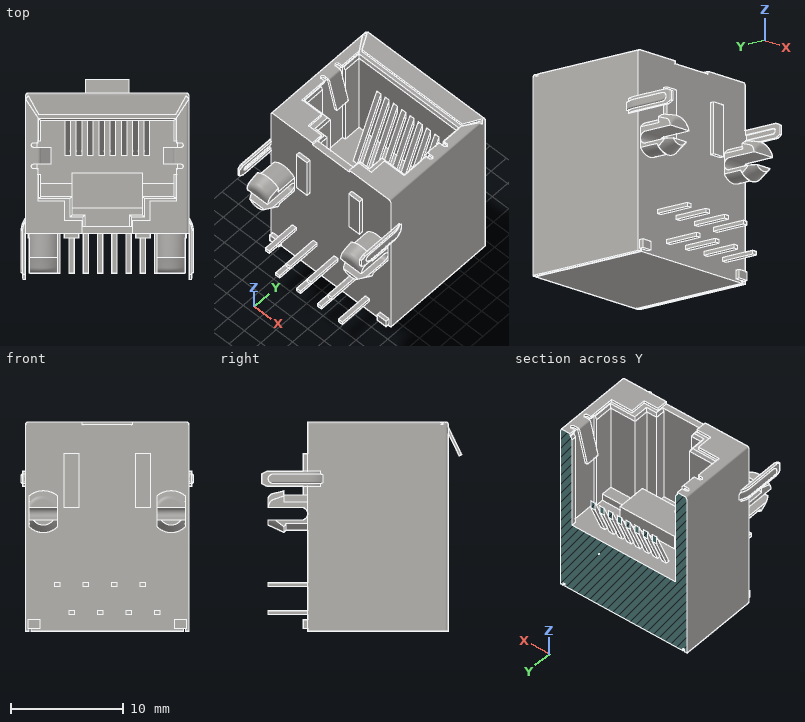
import cadquery as cq
import math


body_w, body_d, body_h = 14.58, 12.55, 18.67
overall_w = 15.38
half_w = body_w / 2
sheet = 0.26
bend_r = 0.26

shell_half_w, shell_front = 6.18, 2.9
shell_step_half_w, shell_step_front = 3.83, 1.18
shell_notch_half_w = 2.24
lip_edge, lip_inset = 10.62, 0.07

cavity_half_w, cavity_front, cavity_back = 5.94, 3.3, 10.08
latch_half_w, latch_front = 3.14, 1.66
key_half_w, key_front = 2.0, 0.63
lead_in, lead_in_depth = 0.17, 0.34
cavity_floor = 7.85
shoulder_h, shoulder_back = 0.75, 4.48
latch_block_h, latch_block_front, latch_block_back = 1.5, 2.28, 5.41

contact_count, contact_pitch, contact_w = 8, 1.0, 0.5
contact_top, contact_end = 15.18, 6.98
contact_thick = 0.37

spring_y, spring_w = 6.95, 1.51
slit_w, slit_end = 0.4, 6.78
recess_y, recess_w, recess_half_w = 6.78, 2.99, 6.25
spring_tip_x, spring_tip_z = 5.02, 14.94
spring_bend_x, spring_bend_drop = 5.88, 0.28

flap_w = 3.88
flap_root_z, flap_tip_z = 18.2, 15.74
flap_tip_y = 13.75

pin_count, pin_step, pin_w, pin_thick, pin_len = 8, 1.27, 0.49, 0.35, 3.55
pin_row_z = (4.16, 1.66)
standoff_h = 0.4
rib_x, rib_w, rib_low, rib_high = 3.2, 1.3, 11.02, 15.83
pad_x, pad_w, pad_low, pad_high = 6.53, 1.08, 0.25, 1.05
seam_x, seam_w = 6.89, 0.17

peg_x, peg_z, peg_w, peg_len = 5.7, 10.57, 2.54, 3.55
shank_r, upper_head_r, lower_head_r, peg_tip_r = 1.59, 1.96, 1.77, 1.1
head_start = 2.11
shoulder_r, shoulder_at = 1.72, 3.1
nose_r, nose_at = 1.53, 3.4
peg_slot_w, peg_slot_z = 1.1, 10.47

tab_z, tab_w, tab_tip_w = 13.6, 1.36, 0.85
tab_len, tab_taper = 4.09, 0.47
tab_bevel, tab_bevel_len = 0.05, 0.19
tab_bend_y, tab_bend_r, tab_bend_angle = 0.17, 1.92, 45
bead_w, bead_end, bead_edge_r = 0.82, 3.51, 0.13
groove_w, groove_end = 0.5, 3.51
tab_face = half_w + sheet
bead_h = overall_w / 2 - tab_face


def box(x0, x1, y0, y1, z0, z1):
    block = cq.Workplane("XY").box(x1 - x0, y1 - y0, z1 - z0, centered=False)
    return block.translate((x0, y0, z0))


def both_sides(solid):
    return solid.union(solid.mirror("YZ"))


def yz_prism(points, x_mid, width):
    """Closed outline in the YZ plane, extruded along X about x_mid."""
    return cq.Workplane("YZ").polyline(points).close().extrude(width / 2, both=True).translate((x_mid, 0, 0))


def mirrored_outline(right_half):
    """Close a right-hand half outline with its mirror image."""
    return right_half + [(-x, y) for x, y in reversed(right_half)]


def cavity_outline(grow):
    """Plug opening with its latch channel and key slot, grown outwards by an offset."""
    return mirrored_outline([
        (key_half_w + grow, key_front),
        (key_half_w + grow, latch_front - grow),
        (latch_half_w + grow, latch_front - grow),
        (latch_half_w + grow, cavity_front - grow),
        (cavity_half_w + grow, cavity_front - grow),
        (cavity_half_w + grow, cavity_back + grow),
    ])


def make_shell():
    body = box(-half_w, half_w, 0, body_d, 0, body_h)
    return body.edges("(>Y and (<X or >X)) or (>Z and (<X or >X or >Y))").fillet(bend_r)


def cut_shell_opening(body):
    """Remove one sheet thickness over the opening and along the corner mitres of the lip."""
    opening = mirrored_outline([
        (shell_notch_half_w, 0),
        (shell_notch_half_w, shell_step_front),
        (shell_step_half_w, shell_step_front),
        (shell_step_half_w, shell_front),
        (shell_half_w, shell_front),
        (shell_half_w, cavity_back + sheet),
        (half_w, body_d - 2 * bend_r),
        (half_w - bend_r, body_d - bend_r),
        (shell_half_w - lip_inset, lip_edge),
    ])
    cut = cq.Workplane("XY").workplane(offset=body_h - sheet).polyline(opening).close().extrude(sheet)
    return body.cut(cut)


def cut_cavity(body):
    lip_z = body_h - sheet
    well = (cq.Workplane("XY").workplane(offset=cavity_floor)
            .polyline(cavity_outline(0)).close().extrude(lip_z - cavity_floor))
    lead = (cq.Workplane("XY").workplane(offset=lip_z - lead_in_depth)
            .polyline(cavity_outline(0)).close()
            .workplane(offset=lead_in_depth)
            .polyline(cavity_outline(lead_in)).close().loft(ruled=True))
    recess = box(-recess_half_w, recess_half_w, recess_y - recess_w / 2, recess_y + recess_w / 2,
                 cavity_floor, lip_z)
    return body.cut(well).cut(lead).cut(recess)


def make_cavity_steps():
    shoulders = box(-cavity_half_w, cavity_half_w, cavity_front, shoulder_back,
                    cavity_floor, cavity_floor + shoulder_h)
    block = box(-latch_half_w, latch_half_w, latch_block_front, latch_block_back,
                cavity_floor, cavity_floor + latch_block_h)
    return shoulders.union(block)


def make_contacts():
    profile = [
        (cavity_back, contact_top),
        (contact_end, cavity_floor),
        (contact_end + contact_thick, cavity_floor),
        (cavity_back + contact_thick, contact_top),
    ]
    contacts = cq.Workplane("XY")
    for i in range(contact_count):
        x = (i - (contact_count - 1) / 2) * contact_pitch
        contacts = contacts.union(yz_prism(profile, x, contact_w))
    return contacts


def make_spring_slits():
    slits = cq.Workplane("XY")
    for side in (-1, 1):
        y = spring_y + side * (spring_w + slit_w) / 2
        straight = box(shell_half_w - sheet, slit_end - slit_w / 2, y - slit_w / 2, y + slit_w / 2,
                       body_h - sheet, body_h)
        end = (cq.Workplane("XY").workplane(offset=body_h - sheet)
               .center(slit_end - slit_w / 2, y).circle(slit_w / 2).extrude(sheet))
        slits = slits.union(straight).union(end)
    return both_sides(slits)


def make_side_springs():
    """Strips bent over the shell edge and sloping down into the cavity."""
    bend_z = body_h - spring_bend_drop
    spring = (cq.Workplane("XZ")
              .moveTo(slit_end, body_h)
              .lineTo(shell_half_w, body_h)
              .tangentArcPoint((spring_bend_x, bend_z), relative=False)
              .lineTo(spring_tip_x, spring_tip_z)
              .lineTo(spring_tip_x + sheet, spring_tip_z)
              .lineTo(spring_bend_x + sheet, bend_z)
              .lineTo(slit_end, body_h - sheet)
              .close().extrude(spring_w / 2, both=True).translate((0, spring_y, 0)))
    return both_sides(spring)


def make_back_flap():
    """Strip leaning away from the +Y face."""
    run, drop = flap_tip_y - body_d, flap_root_z - flap_tip_z
    length = math.hypot(run, drop)
    inward_y, inward_z = -sheet * drop / length, -sheet * run / length
    profile = [
        (body_d, flap_root_z),
        (flap_tip_y, flap_tip_z),
        (flap_tip_y + inward_y, flap_tip_z + inward_z),
        (body_d + inward_y, flap_root_z + inward_z),
    ]
    return yz_prism(profile, 0, flap_w)


def make_pins():
    pins = cq.Workplane("XY")
    for i in range(pin_count):
        x = (i - (pin_count - 1) / 2) * pin_step
        z = pin_row_z[i % 2]
        pins = pins.union(box(x - pin_w / 2, x + pin_w / 2, -pin_len, sheet,
                              z - pin_thick / 2, z + pin_thick / 2))
    return pins


def make_standoffs():
    rib = box(rib_x - rib_w / 2, rib_x + rib_w / 2, -standoff_h, 0, rib_low, rib_high)
    pad = box(pad_x - pad_w / 2, pad_x + pad_w / 2, -standoff_h, 0, pad_low, pad_high)
    return both_sides(rib.union(pad))


def make_seams():
    seam = box(seam_x - seam_w / 2, seam_x + seam_w / 2, 0, body_d, 0, sheet)
    return both_sides(seam)


def make_pegs():
    """Split snap pegs: a shank with a larger upper barb and a smaller conical lower barb."""
    upper = (cq.Workplane("YZ")
             .lineTo(0, shank_r).lineTo(-head_start, shank_r)
             .lineTo(-head_start, upper_head_r).lineTo(-shoulder_at, shoulder_r)
             .threePointArc((-nose_at, nose_r), (-peg_len, peg_tip_r))
             .lineTo(-peg_len, 0).close().revolve(360, (0, 0), (1, 0)))
    barb = lower_head_r - shank_r
    lower = (cq.Workplane("YZ")
             .lineTo(0, -shank_r).lineTo(barb - head_start, -shank_r)
             .lineTo(-head_start, -lower_head_r).lineTo(-peg_len, -peg_tip_r)
             .lineTo(-peg_len, 0).close().revolve(360, (0, 0), (1, 0)))
    reach = peg_w / 2
    upper_half = box(-reach, reach, -peg_len, 0, 0, upper_head_r)
    lower_half = box(-reach, reach, -peg_len, 0, -upper_head_r, 0)
    peg = upper.intersect(upper_half).union(lower.intersect(lower_half))

    slot_r = peg_slot_w / 2
    slot_mid = peg_slot_z - peg_z
    slot = box(-reach, reach, -peg_len, -slot_r, slot_mid - slot_r, slot_mid + slot_r)
    slot_end = (cq.Workplane("YZ").center(-slot_r, slot_mid).circle(slot_r)
                .extrude(reach, both=True))
    return both_sides(peg.cut(slot).cut(slot_end).translate((peg_x, 0, peg_z)))


def peel(section):
    """Sweep an XZ section at the bend line around the tab's bend axis, back into the body."""
    axis_x = tab_face - tab_bend_r
    return (cq.Workplane("XZ", origin=(0, tab_bend_y, 0)).polyline(section).close()
            .revolve(tab_bend_angle, (axis_x, 0), (axis_x, 1)))


def round_ended_bar(x, start_y, end_y, width):
    """Bar as tall as the bead, square at start_y and round at end_y, standing on the plane X = x."""
    slot = (cq.Workplane("YZ", origin=(x, start_y, tab_z))
            .slot2D(2 * (start_y - end_y), width).extrude(bead_h))
    return slot.intersect(box(x, x + bead_h, end_y, start_y, tab_z - width / 2, tab_z + width / 2))


def make_bead():
    """Raised stiffening bead with rounded edges, round at the tip and following the bend."""
    low, high = tab_z - bead_w / 2, tab_z + bead_w / 2
    top = tab_face + bead_h
    bend = peel([(tab_face, low), (top, low), (top, high), (tab_face, high)])
    bead = round_ended_bar(tab_face, tab_bend_y, -bead_end, bead_w).union(bend)
    return bead.faces(">X").edges("not >Y").fillet(bead_edge_r)


def make_ground_tabs():
    low, high = tab_z - tab_w / 2, tab_z + tab_w / 2
    outline = [
        (tab_bend_y, low),
        (tab_bend_y, high),
        (tab_taper - tab_len, high),
        (-tab_len, tab_z + tab_tip_w / 2),
        (-tab_len, tab_z - tab_tip_w / 2),
        (tab_taper - tab_len, low),
    ]
    strip = cq.Workplane("YZ").workplane(offset=half_w).polyline(outline).close().extrude(sheet)
    bevel = (cq.Workplane("XY")
             .moveTo(tab_face, -tab_len)
             .lineTo(tab_face - tab_bevel, -tab_len)
             .lineTo(tab_face, tab_bevel_len - tab_len)
             .close().extrude(body_h))
    bend = peel([(half_w, low), (tab_face, low), (tab_face, high), (half_w, high)])
    groove = round_ended_bar(half_w, 0, -groove_end, groove_w)
    return both_sides(strip.cut(bevel).cut(groove).union(bend).union(make_bead()))


result = cut_cavity(cut_shell_opening(make_shell()))
result = result.cut(make_spring_slits()).cut(make_seams())
for feature in (make_cavity_steps(), make_contacts(), make_side_springs(), make_back_flap(),
                make_pins(), make_standoffs(), make_pegs(), make_ground_tabs()):
    result = result.union(feature)